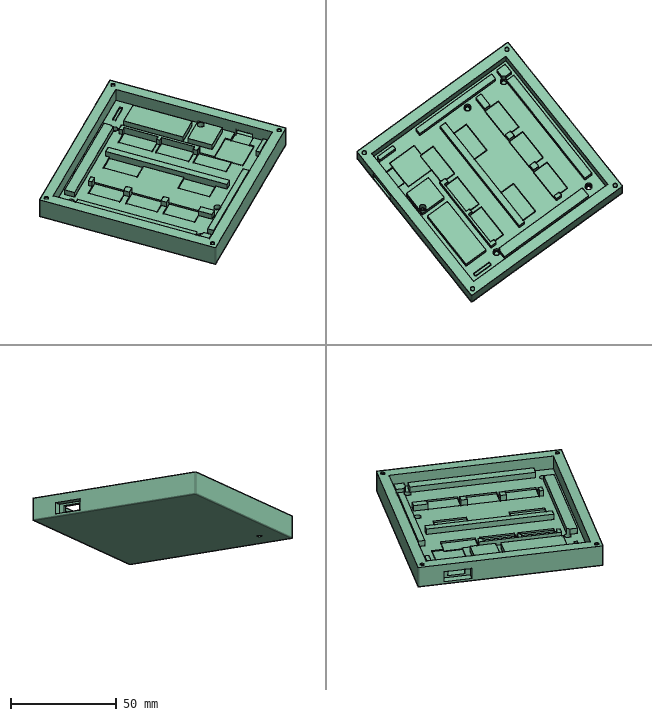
import cadquery as cq

side = 90.0
height = 11.0
wall = 5.0
floor_top = 4.0
outer_fillet = 0.4
inner = side - 2 * wall
inner_half = inner / 2

screw_diameter = 2.0
screw_inset = 2.5
screw_straight_depth = 0.6
screw_cone_depth = 0.8

mouth_diameter = 3.2
bore_diameter = 2.2
mouth_bottom = 1.4
blind_bore_bottom = 1.0
through_hole = (-33.5, -33.5)
blind_holes = [(-33.1, 21.1), (4.95, 36.2), (32.5, -11.4), (32.5, -33.0)]

strip_left = -30.0
strip_width = 3.15
first_column, second_column, third_column = -28.1, -9.0, 10.1
top_row, middle_row, bottom_row = 13.2, -5.9, -25.0
rail_margin = 1.9
rail_right = inner_half - rail_margin
rail_bottom = rail_margin - inner_half
side_rail_bottom = -30.1

pad_height = 3.0
left_rail_width = 5.0
right_rail_width = 3.1
right_tab_width = 2.0
corner_pad_length = 4.95
pads = [
    (strip_left, 25.0, 30.2, 11.9),
    (2.8, 25.0, 12.4, 13.05),
    (strip_left, 18.9, 40.2, strip_width),
    (strip_left, 2.1, 62.0, strip_width),
    (strip_left, -20.1, 63.2, strip_width),
    (strip_left, rail_bottom, 61.2, 4.2),
    (-rail_right, side_rail_bottom, left_rail_width, 50.1),
    (rail_right - right_rail_width, side_rail_bottom, right_rail_width, 45.2),
    (rail_right - right_tab_width, 28.8, right_tab_width, 9.3),
    (rail_right - corner_pad_length, rail_bottom, corner_pad_length, 4.95),
]

pocket_depth = 0.9
wide_cell = 17.3
cell = 16.9
narrow_cell = 16.1
top_cell_width = 7.65
middle_cell_width = 8.0
bottom_cell_width = 8.1
pockets = [
    (-36.5, 26.9, 1.5, 9.4),
    (first_column, top_row, wide_cell, top_cell_width),
    (second_column, top_row, cell, top_cell_width),
    (third_column, top_row, cell, top_cell_width),
    (first_column, middle_row, wide_cell, middle_cell_width),
    (third_column, middle_row, narrow_cell, middle_cell_width),
    (first_column, bottom_row, narrow_cell, bottom_cell_width),
    (second_column, bottom_row, narrow_cell, bottom_cell_width),
    (third_column, bottom_row, narrow_cell, bottom_cell_width),
]

seat = (18.1, 20.2, 14.7, 14.6)
seat_depth = 0.5
slot_center_x = 25.6
slot_width = 9.5
slot_start_y = 34.7
slot_floor = floor_top - 1.5
opening_width = 8.5
opening_top = 5.9
recess_width = 13.5
recess_start_y = 41.6
recess_margin = 1.0


def block(left, bottom, length, width, low, high):
    """Box given by its lower-left corner, its plan size and its two heights."""
    base = cq.Workplane("XY", origin=(left, bottom, low))
    return base.box(length, width, high - low, centered=False)


def channel(width, start_y, end_y, low, high):
    """Box along Y, centred across the connector slot."""
    return block(slot_center_x - width / 2, start_y, width, end_y - start_y, low, high)


def drill(points, diameter, bottom):
    """Vertical cylinders reaching from a given height to the top of the case."""
    base = cq.Workplane("XY", origin=(0, 0, bottom)).pushPoints(points)
    return base.circle(diameter / 2).extrude(height - bottom)


def screw_hole(x, y):
    """Straight hole from the rim, ending in a cone."""
    radius = screw_diameter / 2
    cone_top = height - screw_straight_depth
    profile = cq.Workplane("XZ").polyline(
        [(0, height), (radius, height), (radius, cone_top), (0, cone_top - screw_cone_depth)]
    )
    return profile.close().revolve(360, (0, 0), (0, 1)).translate((x, y, 0))


result = cq.Workplane("XY").box(side, side, height, centered=(True, True, False))
result = result.edges("|Z or <Z").fillet(outer_fillet)
result = result.cut(block(-inner_half, -inner_half, inner, inner, floor_top, height))

for pad in pads:
    result = result.union(block(*pad, floor_top, floor_top + pad_height))
for pocket in pockets:
    result = result.cut(block(*pocket, floor_top - pocket_depth, height))

result = result.cut(block(*seat, floor_top - seat_depth, height))
result = result.cut(channel(slot_width, slot_start_y, inner_half, slot_floor, height))
result = result.cut(channel(opening_width, inner_half, side / 2, slot_floor, opening_top))
result = result.cut(
    channel(recess_width, recess_start_y, side / 2, slot_floor - recess_margin, opening_top + recess_margin)
)

screw_offset = side / 2 - screw_inset
for x in (-screw_offset, screw_offset):
    for y in (-screw_offset, screw_offset):
        result = result.cut(screw_hole(x, y))

result = result.cut(drill(blind_holes + [through_hole], mouth_diameter, mouth_bottom))
result = result.cut(drill(blind_holes, bore_diameter, blind_bore_bottom))
result = result.cut(drill([through_hole], bore_diameter, 0))